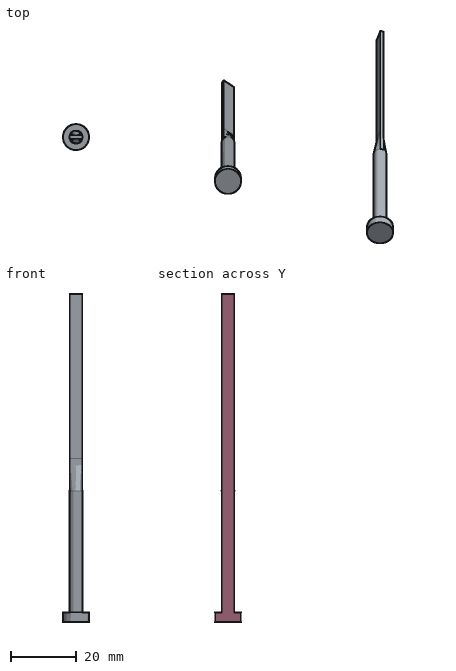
import cadquery as cq
import math

total_length = 100.0
head_diameter = 8.0
head_height = 3.0
shaft_diameter = 4.0
shaft_top = 40.0
transition_length = 10.0
blade_thickness = 1.0

shaft_radius = shaft_diameter / 2
blade_width = math.sqrt(shaft_diameter**2 - blade_thickness**2)
half_width = blade_width / 2
half_thickness = blade_thickness / 2
blade_bottom = shaft_top + transition_length


def make_head():
    return cq.Workplane("XY").circle(head_diameter / 2).extrude(head_height)


def make_shaft():
    return cq.Workplane("XY").circle(shaft_radius).extrude(shaft_top)


def make_transition():
    """Ruled blend from the shaft, flattened at both ends, to the blade section."""
    return (
        cq.Workplane("XY", origin=(0, 0, shaft_top))
        .moveTo(-half_width, -half_thickness)
        .threePointArc((0, -shaft_radius), (half_width, -half_thickness))
        .lineTo(half_width, half_thickness)
        .threePointArc((0, shaft_radius), (-half_width, half_thickness))
        .close()
        .workplane(offset=transition_length)
        .moveTo(-half_width, -half_thickness)
        .lineTo(half_width, -half_thickness)
        .lineTo(half_width, half_thickness)
        .lineTo(-half_width, half_thickness)
        .close()
        .loft(ruled=True)
    )


def make_blade():
    return (
        cq.Workplane("XY", origin=(0, 0, blade_bottom))
        .rect(blade_width, blade_thickness)
        .extrude(total_length - blade_bottom)
    )


result = make_head().union(make_shaft()).union(make_transition()).union(make_blade())